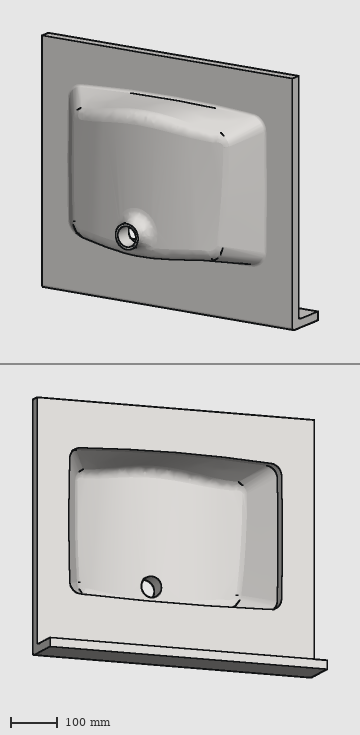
import cadquery as cq

width = 635.0
height = 559.0
slab_thickness = 25.5
shelf_reach = 101.5
shelf_thickness = 20.0
bend_radius = 7.5

wall = 6.0
waist_depth = 89.0
rim = dict(half_width=247.5, side_bulge=2.5, corner_top=460.5, mid_top=468.5,
           corner_bottom=133.0, mid_bottom=128.0, corner_radius=32.0)
waist = dict(half_width=180.0, side_bulge=2.5, corner_top=416.0, mid_top=461.5,
             corner_bottom=162.0, mid_bottom=138.5, corner_radius=38.0)
rim_fillet = 6.5

floor_depth = 122.0
floor_radius = 444.5
floor_tilt = 2.0
floor_round = 28.5
loft_overshoot = 13.0

drain_height = 198.0
spout_end = 159.0
spout_radius = 28.5
drain_radius = 23.0
spout_fillet = 26.5

edge_margin = 0.5
root_margin = 13.0


def make_slab():
    """L-shaped section extruded across the width, rounded along the bend."""
    slab = (
        cq.Workplane("YZ")
        .polyline([
            (0, 0),
            (shelf_reach, 0),
            (shelf_reach, shelf_thickness),
            (slab_thickness, shelf_thickness),
            (slab_thickness, height),
            (0, height),
        ])
        .close()
        .extrude(width / 2, both=True)
    )
    for bend in [(0, 0, 0), (0, slab_thickness, shelf_thickness)]:
        slab = slab.edges("|X").edges(cq.NearestToPointSelector(bend)).fillet(bend_radius)
    return slab


def bowl_outline(depth, inset):
    """Outline with four bowed sides and round corners, at a depth in front of the slab."""
    def at(name):
        return rim[name] + (waist[name] - rim[name]) * depth / waist_depth

    side = at("half_width") - inset
    bowed_side = side + at("side_bulge")
    top = at("corner_top") - inset
    bottom = at("corner_bottom") + inset
    middle = (top + bottom) / 2
    corners = [
        cq.Vector(x, -depth, z)
        for x, z in [(-side, top), (side, top), (side, bottom), (-side, bottom)]
    ]
    bows = [
        cq.Vector(0, -depth, at("mid_top") - inset),
        cq.Vector(bowed_side, -depth, middle),
        cq.Vector(0, -depth, at("mid_bottom") + inset),
        cq.Vector(-bowed_side, -depth, middle),
    ]
    next_corners = corners[1:] + corners[:1]
    sides = [
        cq.Edge.makeThreePointArc(start, bow, end)
        for start, bow, end in zip(corners, bows, next_corners)
    ]
    outline = cq.Wire.assembleEdges(sides)
    return outline.fillet2D(at("corner_radius") - inset, outline.Vertices())


def make_bowl(inset):
    """Tapered bowl closed by the domed floor; the inset shrinks it on every side."""
    loft_end = floor_depth + loft_overshoot
    body = cq.Workplane(obj=cq.Solid.makeLoft(
        [bowl_outline(0, inset), bowl_outline(loft_end, inset)], True))
    dome = (
        cq.Workplane("XY")
        .center(0, floor_radius - floor_depth)
        .circle(floor_radius - inset)
        .extrude(height, both=True)
        .rotate((0, -floor_depth, drain_height), (1, -floor_depth, drain_height), -floor_tilt)
    )
    return body.intersect(dome).faces("<Y").edges().fillet(floor_round - inset)


def make_rod(radius):
    """Cylinder on the drain axis, from halfway down the bowl to the spout's end."""
    start = floor_depth / 2
    return (
        cq.Workplane("XZ", origin=(0, -start, drain_height))
        .circle(radius)
        .extrude(spout_end - start)
    )


def make_shell():
    """Outer bowl with the spout blended into its floor."""
    reach = spout_radius + root_margin
    spout_root = cq.selectors.BoxSelector(
        (-reach, -floor_depth - root_margin, drain_height - reach),
        (reach, -floor_depth + root_margin, drain_height + reach),
    )
    shell = make_bowl(0).union(make_rod(spout_radius))
    return shell.edges(spout_root).fillet(spout_fillet)


def make_cavity():
    """Inside of the bowl, its opening through the slab and the drain bore."""
    opening = cq.Workplane(obj=cq.Solid.extrudeLinear(
        bowl_outline(0, wall), [], cq.Vector(0, slab_thickness, 0)))
    return make_bowl(wall).union(opening).union(make_rod(drain_radius))


rim_edges = cq.selectors.BoxSelector(
    (-width, -edge_margin, shelf_thickness),
    (width, edge_margin, height - edge_margin),
    boundingbox=True,
)
sink = make_slab().union(make_shell()).edges(rim_edges).fillet(rim_fillet)
result = sink.cut(make_cavity())